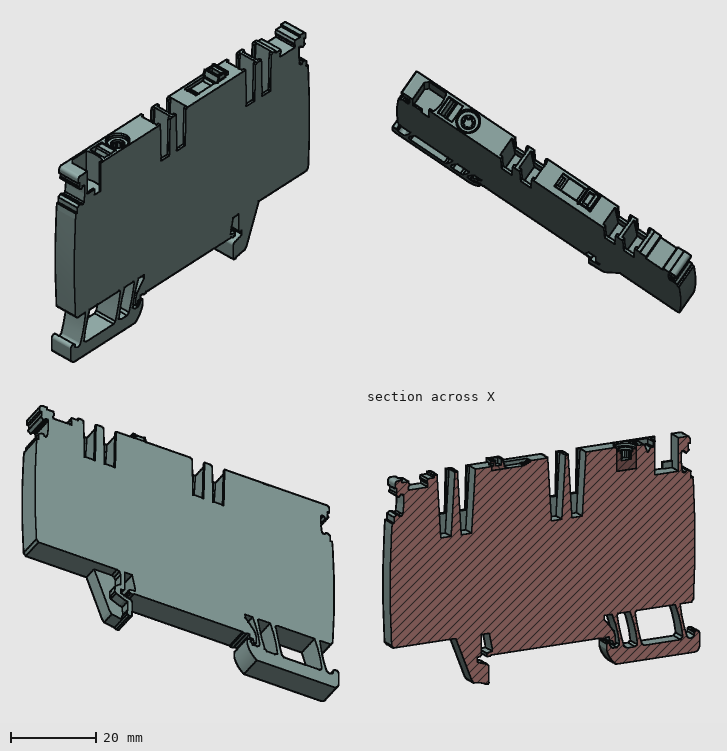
import cadquery as cq

WIDTH = 6.1
HALF_WIDTH = WIDTH / 2
TOP_Z = 53.2
BASE_Z = 12.35
BODY_MID_Y = 0.61
BODY_MID_Z = 27.0
MAX_Y = 40.9
INNER_HALF_WIDTH = 2.4

GROOVE_SHELF_Y = (29.3, 37.6)
GROOVE_SHELF_Z = 52.6

SLOT_GROUP_Y = (23.4, -5.8)
SLOT_OFFSETS = (2.7, -2.7)
SLOT_TOP_WIDTH = 3.35
SLOT_FLOOR_WIDTH = 2.9
SLOT_FLOOR_Z = 42.45
SLOT_LEAD_IN = 0.3
SLOT_LEAD_IN_LENGTH = 0.6
SHAFT_TOP_WIDTH = 4.6
SHAFT_FLOOR_WIDTH = 2.6
SHAFT_FLOOR_Z = 37.6

CLIP_WEB_X = -0.6

TRACK_X = (-2.3, 1.3)
TRACK_Y = (3.85, 13.9)
TRACK_FLOOR_Z = 52.2
STOP_LENGTH = 1.7
STOP_HEIGHT = 0.2
STOP_STEPS = ((1.15, 0.4), (0.6, 0.65))
STOP_X = (-1.6, 0.65)
SLIDER_FRONT_Y = 10.6
SLIDER_TOE_LENGTH = 0.65
SLIDER_TOP_Z = 54.65
SLIDER_BODY_X = (-2.5, 1.55)
SLIDER_LIP_X = (-2.8, 1.8)
SLIDER_LIP_Z = 53.8
SLIDER_BACK_Y = 13.75
SLIDER_BACK_LIP_END_Y = 14.3
SLIDER_LEAN = 0.5
SLIDER_FRONT_LIP = 0.25
SLIDER_TOE_Z = 52.7
SLIDER_LEDGE_X = (-2.3, 1.3)
SLIDER_LEDGE_Y = (13.0, 13.9)
SLIDER_LEDGE_DROP = 0.25
SLIDER_POCKET_X = (-2.0, 1.0)
SLIDER_POCKET_Y = (11.6, 13.0)
SLIDER_POCKET_DEPTH = 1.5

SCREW_Y = -21.5
SCREW_RADIUS = 2.5
SCREW_TOP_Z = 52.2
SCREW_LENGTH = 4.9
BORE_CHAMFER = 0.3
RECESS_RADIUS = 1.6
RECESS_DEPTH = 0.65
STAR_CORE_RADIUS = 1.1
STAR_LOBE_RADIUS = 0.3
STAR_LOBES = 6
STAR_DEPTH = 2.45

TEST_HALF_WIDTH = 2.3

FUNNEL_HALF_WIDTH = 2.6
FUNNEL_Y = (-29.5, -35.2)
FUNNEL_CROWN_Y = -29.0
FUNNEL_CHAMFER = 0.8
FUNNEL_DEPTH = 8.2
FUNNEL_GAP_Y = (-30.6, -35.2)
FUNNEL_GAP_DEPTH = 6.55
FUNNEL_DEEP_GAP_END_Y = -32.7


def box(x_range, y_range, z_range):
    """Axis-aligned box between the given limits."""
    low = [min(r) for r in (x_range, y_range, z_range)]
    size = [max(r) - min(r) for r in (x_range, y_range, z_range)]
    return cq.Workplane("XY").box(*size, centered=False).translate(tuple(low))


def side_sketch(x_start):
    """Workplane across X: its local axes are Y and Z."""
    return cq.Workplane("YZ", origin=(x_start, 0, 0))


def side_plate(points, x_range=(-HALF_WIDTH, HALF_WIDTH)):
    """Straight-sided (Y, Z) outline extruded along X."""
    return side_sketch(x_range[0]).polyline(points).close().extrude(x_range[1] - x_range[0])


def mirrored(point):
    """Reflect a (Y, Z) point about the middle of the body."""
    return (2 * BODY_MID_Y - point[0], point[1])


def make_body():
    end_profile = [
        (40.5, 41.3), (40.3, 42.95), (39.8, 42.95), (39.8, 44.4), (39.1, 44.9), (38.6, 44.9),
        (38.3, 44.4), (37.9, 44.4), (37.55, 44.8), (37.3, 47.0), (37.3, 49.3), (37.5, 49.65),
        (37.95, 49.65), (38.5, 49.1), (39.35, 49.7), (39.1, 50.15), (39.1, 51.3), (39.6, 51.4),
        (39.6, 52.35),
    ]
    corner_mid = (39.35, 52.9)
    corner_end = (38.6, TOP_Z)
    bulge_start = (40.5, 13.1)
    bulge_crest = (MAX_Y, BODY_MID_Z)
    base_corner = (39.9, BASE_Z)
    far_profile = [mirrored(p) for p in reversed(end_profile)]
    return (
        side_sketch(-HALF_WIDTH)
        .moveTo(*base_corner)
        .lineTo(*bulge_start)
        .threePointArc(bulge_crest, end_profile[0])
        .polyline(end_profile[1:], includeCurrent=True)
        .threePointArc(corner_mid, corner_end)
        .lineTo(*mirrored(corner_end))
        .threePointArc(mirrored(corner_mid), far_profile[0])
        .polyline(far_profile[1:], includeCurrent=True)
        .threePointArc(mirrored(bulge_crest), mirrored(bulge_start))
        .lineTo(*mirrored(base_corner))
        .close()
        .extrude(WIDTH)
    )


def make_marker_groove():
    low_y, high_y = GROOVE_SHELF_Y
    return side_plate([
        (high_y, TOP_Z), (high_y, GROOVE_SHELF_Z), (35.9, GROOVE_SHELF_Z), (35.7, 51.7),
        (36.0, 51.05), (35.8, 50.55), (30.9, 50.55), (30.9, 51.3), (31.2, 51.95),
        (31.0, GROOVE_SHELF_Z), (low_y, GROOVE_SHELF_Z), (low_y, TOP_Z),
    ])


def make_bridge_slot(y):
    """Tapered slot through both side walls with a deeper shaft between them."""
    half_top = SLOT_TOP_WIDTH / 2
    half_floor = SLOT_FLOOR_WIDTH / 2
    slot = side_plate([
        (y - half_floor, SLOT_FLOOR_Z), (y + half_floor, SLOT_FLOOR_Z),
        (y + half_top, TOP_Z - SLOT_LEAD_IN), (y + half_top + SLOT_LEAD_IN_LENGTH, TOP_Z),
        (y - half_top, TOP_Z),
    ])
    half_shaft_top = SHAFT_TOP_WIDTH / 2
    half_shaft_floor = SHAFT_FLOOR_WIDTH / 2
    shaft = side_plate([
        (y - half_shaft_floor, SHAFT_FLOOR_Z), (y + half_shaft_floor, SHAFT_FLOOR_Z),
        (y + half_shaft_top, TOP_Z), (y - half_shaft_top, TOP_Z),
    ], (-INNER_HALF_WIDTH, INNER_HALF_WIDTH))
    return slot.union(shaft)


def make_rail_seat():
    """Block under the body that rests on the rail, with a hook at its -Y end."""
    return side_plate([
        (14.7, BASE_Z), (13.9, 8.4), (13.9, 7.9), (15.5, 7.7), (15.5, 6.95), (15.1, 6.7),
        (14.4, 6.7), (14.2, 6.95), (-15.0, 6.95), (-15.1, 6.7), (-15.95, 6.7), (-16.1, 6.95),
        (-16.9, 6.95), (-16.9, 6.0), (-17.8, 5.9), (-18.1, 4.9), (-18.65, 4.9), (-18.65, 6.95),
        (-18.25, 8.3), (-16.9, 10.0), (-15.7, 11.45), (-15.7, BASE_Z),
    ])


def make_clip():
    """Bent strip across the full width, stiffened by a thin web on its outer side."""
    outer_side = [
        (18.8, BASE_Z), (18.2, 12.0), (17.8, 11.2), (17.8, 8.4), (19.3, 7.3), (19.4, 5.65),
        (19.1, 5.2), (16.8, 4.2), (15.95, 4.0), (15.9, 1.6), (16.1, 1.1), (16.0, 0.3),
    ]
    inner_side = [
        (17.35, 5.65), (17.75, 5.9), (17.75, 6.95), (17.1, 6.95), (16.7, 7.45), (16.7, BASE_Z),
    ]
    web_edge = [(18.0, 0.7), (18.8, 0.8), (19.4, 1.6), (21.9, 8.2), (23.55, BASE_Z)]
    strip = (
        side_sketch(-HALF_WIDTH)
        .polyline(outer_side + [(15.55, 0), (15.0, 0), (14.7, 0.3), (14.7, 4.2)])
        .threePointArc((15.0, 4.75), (15.6, 5.1))
        .polyline(inner_side, includeCurrent=True)
        .close()
        .extrude(WIDTH)
    )
    web = side_plate(outer_side + web_edge, (CLIP_WEB_X, HALF_WIDTH))
    return strip.union(web)


def make_foot():
    """Foot at the -Y end, carried by three curved legs with two windows between them."""
    foot = (
        side_sketch(-HALF_WIDTH)
        .moveTo(-17.7, BASE_Z)
        .threePointArc((-19.0, 8.4), (-19.6, 4.8))
        .polyline([(-19.0, 4.2), (-17.8, 4.2), (-17.2, 4.9), (-17.1, 5.5), (-16.2, 5.5), (-16.2, 4.1)],
                  includeCurrent=True)
        .threePointArc((-17.1, 1.9), (-18.8, 0))
        .lineTo(-39.5, 0)
        .threePointArc((-40.5, 0.5), (-40.9, 1.5))
        .lineTo(-40.9, 4.5)
        .threePointArc((-40.65, 5.0), (-40.2, 5.2))
        .polyline([(-39.75, 5.2), (-39.4, 4.9), (-39.35, 4.25)], includeCurrent=True)
        .threePointArc((-38.45, 3.7), (-37.55, 4.25))
        .threePointArc((-36.4, 8.4), (-35.8, 11.9))
        .lineTo(-35.8, BASE_Z)
        .close()
        .extrude(WIDTH)
    )
    narrow_window = (
        side_sketch(-HALF_WIDTH)
        .moveTo(-19.3, BASE_Z)
        .lineTo(-22.4, BASE_Z)
        .threePointArc((-23.6, 8.4), (-24.4, 4.1))
        .lineTo(-23.7, 3.7)
        .lineTo(-21.6, 3.7)
        .lineTo(-20.9, 4.25)
        .threePointArc((-19.8, 8.4), (-19.15, 11.95))
        .close()
        .extrude(WIDTH)
    )
    wide_window = (
        side_sketch(-HALF_WIDTH)
        .moveTo(-24.2, BASE_Z)
        .lineTo(-34.35, BASE_Z)
        .threePointArc((-35.6, 8.4), (-36.3, 4.3))
        .lineTo(-35.75, 3.7)
        .lineTo(-26.2, 3.7)
        .lineTo(-25.6, 4.2)
        .threePointArc((-24.5, 8.4), (-23.9, 11.95))
        .close()
        .extrude(WIDTH)
    )
    return foot.cut(narrow_window).cut(wide_window)


def make_slider_track():
    """Shallow track in the top face with a stepped stop at its -Y end."""
    track = box(TRACK_X, TRACK_Y, (TRACK_FLOOR_Z, TOP_Z))
    raised_y = (TRACK_Y[0], TRACK_Y[0] + STOP_LENGTH)
    track = track.cut(box(TRACK_X, raised_y, (TRACK_FLOOR_Z, TRACK_FLOOR_Z + STOP_HEIGHT)))
    for length, height in STOP_STEPS:
        stop_y = (TRACK_Y[0], TRACK_Y[0] + length)
        track = track.cut(box(STOP_X, stop_y, (TRACK_FLOOR_Z, TRACK_FLOOR_Z + height)))
    return track


def make_slider():
    """Slider: foot in the track, body with a leaning front and end lips, stepped pocket."""
    front_y, back_y = SLIDER_FRONT_Y, SLIDER_BACK_Y
    top_front_y = front_y + SLIDER_LEAN
    track_end_y = TRACK_Y[1]
    foot = side_plate([
        (front_y - SLIDER_TOE_LENGTH, TRACK_FLOOR_Z), (front_y, SLIDER_TOE_Z), (front_y, TOP_Z),
        (track_end_y, TOP_Z), (track_end_y, TRACK_FLOOR_Z),
    ], TRACK_X)
    body = side_plate([
        (front_y, TOP_Z), (top_front_y, SLIDER_TOP_Z), (back_y, SLIDER_TOP_Z), (back_y, TOP_Z),
    ], SLIDER_BODY_X)
    front_lip = side_plate([
        (front_y, TOP_Z), (top_front_y, SLIDER_TOP_Z),
        (top_front_y + SLIDER_FRONT_LIP, SLIDER_TOP_Z), (front_y + SLIDER_FRONT_LIP, TOP_Z),
    ], SLIDER_LIP_X)
    back_lip = box(SLIDER_LIP_X, (back_y, SLIDER_BACK_LIP_END_Y), (SLIDER_LIP_Z, SLIDER_TOP_Z))
    ledge = box(SLIDER_LEDGE_X, SLIDER_LEDGE_Y, (SLIDER_TOP_Z - SLIDER_LEDGE_DROP, SLIDER_TOP_Z))
    pocket = box(SLIDER_POCKET_X, SLIDER_POCKET_Y, (SLIDER_TOP_Z - SLIDER_POCKET_DEPTH, SLIDER_TOP_Z))
    return foot.union(body).union(front_lip).union(back_lip).cut(ledge).cut(pocket)


def make_screw_bore():
    """Round bore down to the underside of the screw, countersunk at the top face."""
    floor_z = SCREW_TOP_Z - SCREW_LENGTH
    return (
        cq.Workplane("XY", origin=(0, SCREW_Y, floor_z))
        .circle(SCREW_RADIUS)
        .extrude(TOP_Z - floor_z)
        .union(
            cq.Workplane("XY", origin=(0, SCREW_Y, TOP_Z - BORE_CHAMFER))
            .circle(SCREW_RADIUS)
            .workplane(offset=BORE_CHAMFER)
            .circle(SCREW_RADIUS + BORE_CHAMFER)
            .loft()
        )
    )


def make_screw():
    """Screw with a round recess and a six-lobed socket below it."""
    top = cq.Workplane("XY", origin=(0, SCREW_Y, SCREW_TOP_Z))
    screw = top.circle(SCREW_RADIUS).extrude(-SCREW_LENGTH)
    screw = screw.cut(top.circle(RECESS_RADIUS).extrude(-RECESS_DEPTH))
    screw = screw.cut(top.circle(STAR_CORE_RADIUS).extrude(-STAR_DEPTH))
    lobes = (
        top.polarArray(STAR_CORE_RADIUS, 0, 360, STAR_LOBES)
        .circle(STAR_LOBE_RADIUS)
        .extrude(-STAR_DEPTH)
    )
    return screw.cut(lobes)


def make_test_opening():
    """Opening with a shallow shelf, a deep notch and a sloping far side."""
    return side_plate([
        (-24.5, TOP_Z), (-24.5, 52.85), (-26.0, 52.85), (-26.4, 52.5), (-27.15, 50.7),
        (-27.9, 51.9), (-28.55, 51.9), (-28.55, TOP_Z),
    ], (-TEST_HALF_WIDTH, TEST_HALF_WIDTH))


def make_wire_funnel():
    """Pocket with a crowned +Y wall, open to the +X face along most of its length."""
    near_y, far_y = FUNNEL_Y
    pocket = (
        cq.Workplane("XY", origin=(0, 0, TOP_Z - FUNNEL_DEPTH))
        .moveTo(-FUNNEL_HALF_WIDTH, near_y)
        .threePointArc((0, FUNNEL_CROWN_Y), (FUNNEL_HALF_WIDTH, near_y))
        .lineTo(FUNNEL_HALF_WIDTH, far_y)
        .lineTo(-FUNNEL_HALF_WIDTH + FUNNEL_CHAMFER, far_y)
        .lineTo(-FUNNEL_HALF_WIDTH, far_y + FUNNEL_CHAMFER)
        .close()
        .extrude(FUNNEL_DEPTH)
    )
    side_gap = box((0, HALF_WIDTH), FUNNEL_GAP_Y, (TOP_Z - FUNNEL_GAP_DEPTH, TOP_Z))
    deep_gap_y = (FUNNEL_GAP_Y[0], FUNNEL_DEEP_GAP_END_Y)
    deep_gap = box((0, HALF_WIDTH), deep_gap_y, (TOP_Z - FUNNEL_DEPTH, TOP_Z))
    return pocket.union(side_gap).union(deep_gap)


def make_housing():
    housing = make_body().union(make_rail_seat()).union(make_clip()).union(make_foot())
    housing = housing.cut(make_marker_groove())
    for group_y in SLOT_GROUP_Y:
        for offset in SLOT_OFFSETS:
            housing = housing.cut(make_bridge_slot(group_y + offset))
    for opening in (make_slider_track(), make_screw_bore(), make_test_opening(), make_wire_funnel()):
        housing = housing.cut(opening)
    return housing


housing = make_housing()
slider = make_slider()
screw = make_screw()

result = cq.Compound.makeCompound([housing.val(), slider.val(), screw.val()])